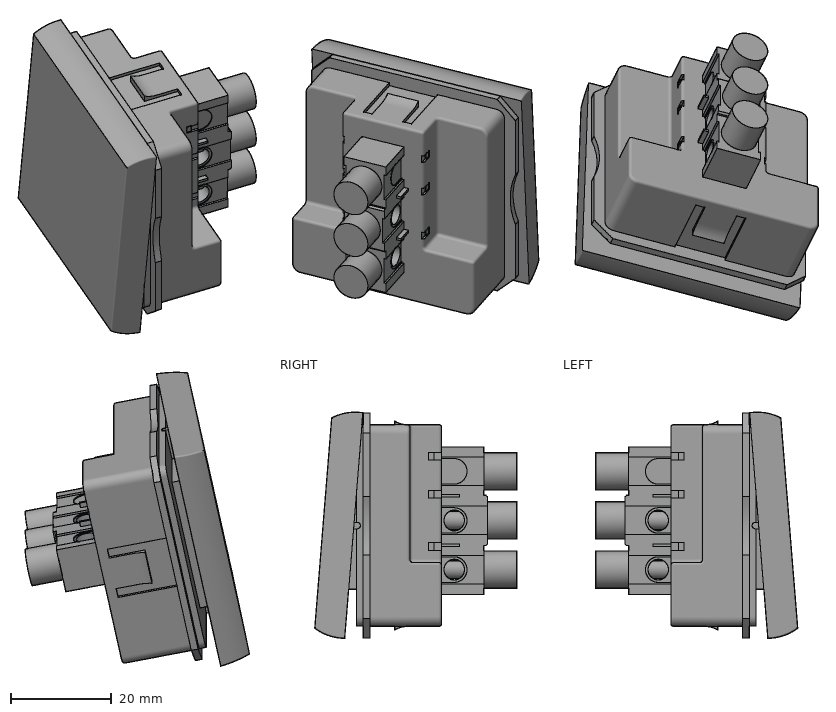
import cadquery as cq


HOUSING_SIZE = 40.1
HOUSING_DEPTH = 14.25
HOUSING_CORNER = 1.85
INNER_ROUND = 0.65
RIM_ROUND = 0.55

NOTCH_WALL_X = 9.0
NOTCH_BOTTOM_Z = -7.35
NOTCH_FLOOR_Y = 7.92
WALL_SLOT_Z = (13.77, 6.2, -4.15)
WALL_SLOT_HEIGHT = 1.5
WALL_SLOT_DEEP_LENGTH = 1.5
WALL_SLOT_LENGTH = 2.6
WALL_SLOT_DEPTH = 0.45

CLIP_POCKET_WIDTH = 10.6
CLIP_POCKET_LENGTH = 12.15
CLIP_POCKET_DEPTH = 0.7
TONGUE_WIDTH = 6.73
TONGUE_FRONT_Y = 4.9
HOOK_LENGTH = 2.6
HOOK_RISE = 0.75

FLANGE_SIZE = 44.8
FLANGE_THICKNESS = 1.4
FLANGE_CORNER_CUT = 3.95
SIDE_NOTCH_HALF_HEIGHT = 5.8
SIDE_NOTCH_DEPTH = 1.15
FRAME_SIZE = 40.0
FRAME_FRONT_Y = -2.7

ROCKER_WIDTH = 46.05
ROCKER_HEIGHT = 45.05
ROCKER_THICKNESS = 6.15
ROCKER_TILT = -4.6
ROCKER_REAR_Y = -3.22
ROCKER_END_DROP = 1.55
ROCKER_END_STRAIGHT = 0.8
ROCKER_SIDE_DROP = 0.6
ROCKER_EDGE_ROUND = 0.28
SUPPORT_WIDTH = 27.65
SUPPORT_HEIGHT = 25.35
SUPPORT_FRONT_Y = -4.6
PIVOT_RADIUS = 0.65
PIVOT_Y = -2.6
PIVOT_PROUD = 0.15

BLOCK_WIDTH = 9.2
BLOCK_TOP_Z = 15.6
BLOCK_BOTTOM_Z = -13.75
BLOCK_REAR_Y = 22.6
BLOCK_EMBED = 0.9
MIDDLE_REAR_Y = 23.35
MIDDLE_HEIGHT = 10.05
MIDDLE_CHAMFER = 0.35
TERMINAL_PITCH = 9.75
TERMINAL_CENTRE_Z = 1.0
PANEL_HEIGHT = 5.65
PANEL_DEPTH = 0.4
WIRE_Y = 16.72
WIRE_RECESS_RADIUS = 2.55
WIRE_RECESS_DEPTH = 0.2
WIRE_HOLE_RADIUS = 2.05
SCREW_RADIUS = 1.8
BARREL_RADIUS = 3.75
BARREL_END_Y = 29.15
RIB_WIDTH = 11.25
RIB_REAR_Y = 17.75
RIB_THICKNESS = 0.5


def span_box(x_range, y_range, z_range):
    """Box between pairs of limits along X, Y and Z."""
    sizes = [high - low for low, high in (x_range, y_range, z_range)]
    start = (x_range[0], y_range[0], z_range[0])
    return cq.Workplane("XY").box(*sizes, centered=False).translate(start)


def centred_box(width, y_range, z_range):
    return span_box((-width / 2, width / 2), y_range, z_range)


def cylinder_y(radius, y_range, z):
    """Cylinder along Y, centred on X = 0."""
    length = y_range[1] - y_range[0]
    plane = cq.Workplane("XZ", origin=(0, y_range[1], z))
    return plane.circle(radius).extrude(length)


def cylinder_x(radius, width, y, z):
    """Cylinder along X, centred on X = 0."""
    return cq.Workplane("YZ", origin=(0, y, z)).circle(radius).extrude(width / 2, both=True)


def both_sides(shape, plane):
    """The shape together with its mirror image."""
    return shape.union(shape.mirror(plane))


def make_housing():
    half = HOUSING_SIZE / 2
    body = centred_box(HOUSING_SIZE, (0, HOUSING_DEPTH), (-half, half))
    body = body.edges("|Y").fillet(HOUSING_CORNER)
    notch = span_box(
        (-HOUSING_SIZE, -NOTCH_WALL_X),
        (NOTCH_FLOOR_Y, 2 * HOUSING_DEPTH),
        (NOTCH_BOTTOM_Z, HOUSING_SIZE),
    )
    notch = notch.edges(">X and <Y or >X and <Z or <Y and <Z").fillet(INNER_ROUND)
    body = body.cut(both_sides(notch, "YZ"))
    seed_x = (NOTCH_WALL_X + half) / 2
    rim_edges = body.faces(">Y").edges()
    for x in (-seed_x, seed_x):
        seed = cq.selectors.NearestToPointSelector((x, NOTCH_FLOOR_Y, half))
        rim_edges = rim_edges.add(body.edges(seed))
    body = rim_edges.fillet(RIM_ROUND)
    return body


def make_clip():
    """Pocket cutter and tongue of the upper clip."""
    top = HOUSING_SIZE / 2
    floor = top - CLIP_POCKET_DEPTH
    pocket = centred_box(CLIP_POCKET_WIDTH, (0, CLIP_POCKET_LENGTH), (floor, top + 0.45))
    tongue = (
        cq.Workplane("YZ")
        .moveTo(TONGUE_FRONT_Y, floor)
        .lineTo(CLIP_POCKET_LENGTH, floor)
        .lineTo(CLIP_POCKET_LENGTH, top)
        .lineTo(TONGUE_FRONT_Y + HOOK_LENGTH, top)
        .tangentArcPoint((TONGUE_FRONT_Y, top + HOOK_RISE), relative=False)
        .close()
        .extrude(TONGUE_WIDTH / 2, both=True)
    )
    return pocket, tongue


def make_wall_slots():
    """Stepped snap slots in the notch walls, opening to the rear."""
    wall = NOTCH_WALL_X
    slots = cq.Workplane("XY")
    for z in WALL_SLOT_Z:
        z_range = (z - WALL_SLOT_HEIGHT / 2, z + WALL_SLOT_HEIGHT / 2)
        for length, depth in (
            (WALL_SLOT_LENGTH, WALL_SLOT_DEPTH / 2),
            (WALL_SLOT_DEEP_LENGTH, WALL_SLOT_DEPTH),
        ):
            slots = slots.union(
                span_box((-wall, -wall + depth), (HOUSING_DEPTH - length, HOUSING_DEPTH), z_range)
            )
    return both_sides(slots, "YZ")


def make_flange():
    half = FLANGE_SIZE / 2
    flange = centred_box(FLANGE_SIZE, (-FLANGE_THICKNESS, 0), (-half, half))
    flange = flange.edges("|Y").chamfer(FLANGE_CORNER_CUT)
    side_notch = (
        cq.Workplane("XZ")
        .moveTo(-half, -SIDE_NOTCH_HALF_HEIGHT)
        .threePointArc((-half + SIDE_NOTCH_DEPTH, 0), (-half, SIDE_NOTCH_HALF_HEIGHT))
        .close()
        .extrude(FLANGE_THICKNESS)
    )
    return flange.cut(both_sides(side_notch, "YZ"))


def make_frame():
    half = FRAME_SIZE / 2
    frame = centred_box(FRAME_SIZE, (FRAME_FRONT_Y, -FLANGE_THICKNESS), (-half, half))
    return frame.edges("|Y").fillet(HOUSING_CORNER)


def make_rocker():
    """Rocker with bowed ends and tapered sides, tilted about the X axis."""
    half_height = ROCKER_HEIGHT / 2
    front_half = half_height - ROCKER_END_DROP
    upper_half = (
        cq.Workplane("YZ")
        .lineTo(0, half_height)
        .lineTo(-ROCKER_END_STRAIGHT, half_height)
        .tangentArcPoint((-ROCKER_THICKNESS, front_half), relative=False)
        .lineTo(-ROCKER_THICKNESS, 0)
        .close()
        .extrude(ROCKER_WIDTH / 2, both=True)
    )
    rocker = both_sides(upper_half, "XY").clean()
    half_width = ROCKER_WIDTH / 2
    taper = (
        cq.Workplane("XY")
        .polyline([
            (-half_width, 0),
            (half_width, 0),
            (half_width - ROCKER_SIDE_DROP, -ROCKER_THICKNESS),
            (-half_width + ROCKER_SIDE_DROP, -ROCKER_THICKNESS),
        ])
        .close()
        .extrude(ROCKER_HEIGHT, both=True)
    )
    rocker = rocker.intersect(taper).faces("<X or >X").edges("not >Y").fillet(ROCKER_EDGE_ROUND)
    rocker = rocker.rotate((0, 0, 0), (1, 0, 0), ROCKER_TILT)
    return rocker.translate((0, ROCKER_REAR_Y, 0))


def make_rocker_support():
    """Block that carries the rocker and the pivot pin through the frame."""
    half = SUPPORT_HEIGHT / 2
    support = centred_box(SUPPORT_WIDTH, (SUPPORT_FRONT_Y, FRAME_FRONT_Y), (-half, half))
    pin_width = FRAME_SIZE + 2 * PIVOT_PROUD
    pin = cylinder_x(PIVOT_RADIUS, pin_width, PIVOT_Y, 0)
    arm = centred_box(pin_width, (SUPPORT_FRONT_Y, PIVOT_Y), (-PIVOT_RADIUS, PIVOT_RADIUS))
    return support.union(pin).union(arm)


def make_terminals():
    front = HOUSING_DEPTH - BLOCK_EMBED
    block = centred_box(BLOCK_WIDTH, (front, BLOCK_REAR_Y), (BLOCK_BOTTOM_Z, BLOCK_TOP_Z))
    middle_z = (TERMINAL_CENTRE_Z - MIDDLE_HEIGHT / 2, TERMINAL_CENTRE_Z + MIDDLE_HEIGHT / 2)
    middle = centred_box(BLOCK_WIDTH, (front, MIDDLE_REAR_Y), middle_z)
    block = block.union(middle.faces(">Y").edges("|X").chamfer(MIDDLE_CHAMFER))

    half = BLOCK_WIDTH / 2
    panel_x = half - PANEL_DEPTH
    recess_x = panel_x - WIRE_RECESS_DEPTH
    for step in (-1, 0, 1):
        z = TERMINAL_CENTRE_Z + step * TERMINAL_PITCH
        panel = span_box(
            (-half, -panel_x),
            (HOUSING_DEPTH, MIDDLE_REAR_Y),
            (z - PANEL_HEIGHT / 2, z + PANEL_HEIGHT / 2),
        )
        recess = (
            cylinder_x(WIRE_RECESS_RADIUS, BLOCK_WIDTH, WIRE_Y, z)
            .union(centred_box(
                BLOCK_WIDTH,
                (HOUSING_DEPTH, WIRE_Y),
                (z - WIRE_RECESS_RADIUS, z + WIRE_RECESS_RADIUS),
            ))
            .intersect(span_box(
                (-half, -recess_x),
                (HOUSING_DEPTH, BLOCK_REAR_Y),
                (z - half, z + half),
            ))
        )
        block = block.cut(both_sides(panel.union(recess), "YZ"))
        if step < 1:
            block = block.cut(cylinder_x(WIRE_HOLE_RADIUS, BLOCK_WIDTH, WIRE_Y, z))
            block = block.union(cylinder_y(SCREW_RADIUS, (front, BLOCK_REAR_Y), z))
        block = block.union(cylinder_y(BARREL_RADIUS, (BLOCK_REAR_Y - BLOCK_EMBED, BARREL_END_Y), z))

    for side in (-1, 1):
        z = TERMINAL_CENTRE_Z + side * TERMINAL_PITCH / 2
        rib_z = (z - RIB_THICKNESS / 2, z + RIB_THICKNESS / 2)
        block = block.union(centred_box(RIB_WIDTH, (front, RIB_REAR_Y), rib_z))
    return block


pocket, tongue = make_clip()
result = (
    make_housing()
    .cut(both_sides(pocket, "XY"))
    .union(both_sides(tongue, "XY"))
    .cut(make_wall_slots())
    .union(make_terminals())
    .union(make_flange())
    .union(make_frame())
    .union(make_rocker_support())
    .union(make_rocker())
)